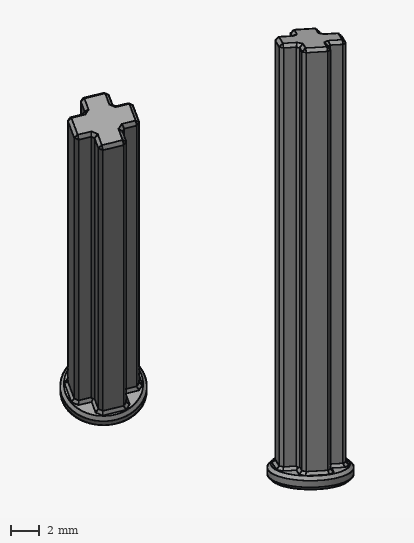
import cadquery as cq
import math

total_length = 32.0
head_diameter = 6.0
head_thickness = 1.0
head_chamfer = 0.25

shaft_span = 4.7
arm_width = 2.0
shaft_chamfer = 0.25
inner_corner_chamfer = 0.2
root_chamfer = 0.22

shaft_length = total_length - head_thickness

outer_square_side = math.sqrt(2) * ((shaft_span + arm_width) / 2 - shaft_chamfer)
inner_square_side = math.sqrt(2) * (arm_width + inner_corner_chamfer)


def make_prism(x_size, y_size, turn=0):
    """Rectangular prism standing on the head, as long as the shaft."""
    prism = cq.Workplane("XY", origin=(0, 0, head_thickness)).rect(x_size, y_size).extrude(shaft_length)
    return prism.rotate((0, 0, 0), (0, 0, 1), turn)


def make_flare(x_size, y_size, turn=0):
    """45 degree frustum on the head that narrows to the given rectangle."""
    base = cq.Workplane("XY", origin=(0, 0, head_thickness))
    flare = base.rect(x_size + 2 * root_chamfer, y_size + 2 * root_chamfer).extrude(root_chamfer, taper=45)
    return flare.rotate((0, 0, 0), (0, 0, 1), turn)


def make_head():
    """Round disc with both rims chamfered."""
    disc = cq.Workplane("XY").circle(head_diameter / 2).extrude(head_thickness)
    return disc.faces("<Z or >Z").edges().chamfer(head_chamfer)


def is_arm_edge(edge):
    """True for the edges at the free end of an arm, false for those between arms."""
    return max(abs(edge.Center().x), abs(edge.Center().y)) > shaft_span / 2 - shaft_chamfer


def make_shaft():
    """Cross with filled-in inner corners, chamfered along its arm edges and free end."""
    cross = make_prism(shaft_span, arm_width).union(make_prism(arm_width, shaft_span))
    cross = cross.union(make_prism(inner_square_side, inner_square_side, 45)).clean()
    arm_edges = cross.edges("|Z").filter(is_arm_edge)
    return cross.faces(">Z").edges().add(arm_edges).chamfer(shaft_chamfer)


def make_root():
    """Sloped flare that follows the arms and meets in sharp valleys between them."""
    arms = make_flare(shaft_span, arm_width).union(make_flare(arm_width, shaft_span))
    return arms.intersect(make_flare(outer_square_side, outer_square_side, 45))


result = make_head().union(make_shaft()).union(make_root()).clean()